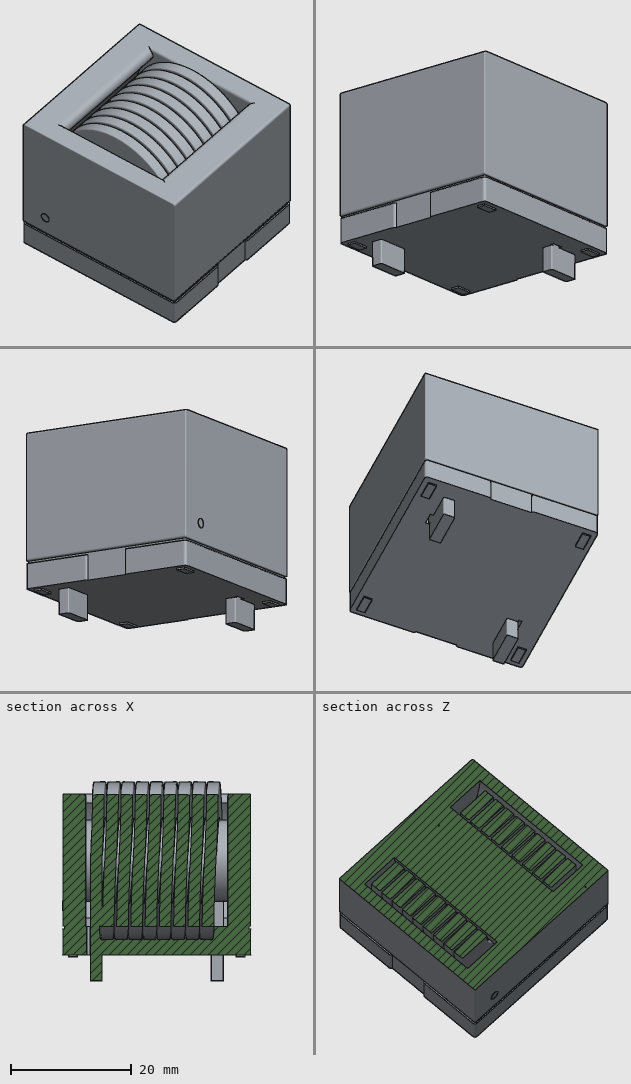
import cadquery as cq


length_x = 32.0
length_y = 31.2
height = 33.0

base_bottom = 4.3
base_top = 8.6
core_bottom = 9.05
core_top = 31.0

neck_inset = 0.3
base_corner_radius = 0.5
neck_corner_radius = 0.25
recess_width = 7.2
foot_length = 3.05
foot_width = 1.5
foot_height = 0.3
foot_center_x = 13.5
foot_center_y = 13.9
slot_inner_x = 6.73
slot_outer_x = 8.75
slot_outer_y = 11.58

core_top_edge_radius = 0.5
core_bottom_edge_radius = 0.33
core_end_edge_radius = 0.15
window_half_x = 9.95
window_half_y = 11.75
window_radius_x = 1.4
window_radius_y = 0.5
post_diameter = 13.5
cavity_clearance = 0.73
marker_diameter = 1.62
marker_depth = 0.05
marker_x = -11.3
marker_z = 12.45

wire_width = 6.07
wire_thickness = 2.0
wire_corner_radius = 0.2
coil_outer_radius = 13.07
coil_turns = 8.5
lead_center_y = 10.03

coil_mean_radius = coil_outer_radius - wire_width / 2
coil_axis_z = height - coil_outer_radius
coil_travel = 2 * lead_center_y
coil_pitch = coil_travel / coil_turns


def block(size_x, size_y, bottom, top):
    """Box centered on the Z axis between two levels."""
    return (
        cq.Workplane("XY", origin=(0, 0, bottom))
        .rect(size_x, size_y)
        .extrude(top - bottom)
    )


def cylinder_along_y(radius, half_length):
    """Cylinder on the coil axis, centered at Y = 0."""
    return (
        cq.Workplane("XZ", origin=(0, 0, coil_axis_z))
        .circle(radius)
        .extrude(half_length, both=True)
    )


def flared_prism(plane, half_width, radius, half_length):
    """Slot profile whose two upper edges round outward to the core top, extruded both ways."""
    return (
        cq.Workplane(plane)
        .moveTo(-half_width, core_bottom)
        .lineTo(half_width, core_bottom)
        .lineTo(half_width, core_top - radius)
        .radiusArc((half_width + radius, core_top), radius)
        .lineTo(-half_width - radius, core_top)
        .radiusArc((-half_width, core_top - radius), radius)
        .close()
        .extrude(half_length, both=True)
    )


def make_core():
    core = block(length_x, length_y, core_bottom, core_top)
    core = core.edges("|Y and >Z").fillet(core_top_edge_radius)
    core = core.edges("|Y and <Z").fillet(core_bottom_edge_radius)
    core = core.faces("<Y or >Y").edges().fillet(core_end_edge_radius)

    window = flared_prism("XZ", window_half_x, window_radius_x, length_y)
    window = window.intersect(flared_prism("YZ", window_half_y, window_radius_y, length_x))
    cavity = cylinder_along_y(coil_outer_radius + cavity_clearance, window_half_y)
    post = cylinder_along_y(post_diameter / 2, window_half_y)
    core = core.cut(cavity).cut(window).union(post)

    marker = (
        cq.Workplane("XZ", origin=(marker_x, -length_y / 2, marker_z))
        .circle(marker_diameter / 2)
        .extrude(-marker_depth)
    )
    return core.cut(marker)


def make_base():
    neck_x = length_x - 2 * neck_inset
    neck_y = length_y - 2 * neck_inset
    base = block(neck_x, neck_y, base_bottom, core_bottom).edges("|Z").fillet(neck_corner_radius)

    pad_y = (length_y - recess_width) / 2
    pad_center_y = (length_y + recess_width) / 4
    pad = block(length_x, pad_y, base_bottom, base_top).edges("|Z").fillet(base_corner_radius)
    for side in (-1, 1):
        base = base.union(pad.translate((0, side * pad_center_y, 0)))

    feet = (
        cq.Workplane("XY", origin=(0, 0, base_bottom))
        .rect(2 * foot_center_x, 2 * foot_center_y, forConstruction=True)
        .vertices()
        .rect(foot_length, foot_width)
        .extrude(-foot_height)
    )
    return base.union(feet)


def wire_section(workplane):
    """Flat-wire cross-section with rounded corners, centered on the workplane."""
    sketch = workplane.sketch().rect(wire_width, wire_thickness)
    return sketch.vertices().fillet(wire_corner_radius).finalize()


def make_turns():
    helix = cq.Wire.makeHelix(coil_pitch, coil_travel, coil_mean_radius, lefthand=True)
    section = wire_section(cq.Workplane("XZ", origin=(coil_mean_radius, 0, 0)))
    turns = section.sweep(cq.Workplane(helix), isFrenet=True)
    frame = cq.Plane(origin=(0, lead_center_y, coil_axis_z), xDir=(-1, 0, 0), normal=(0, -1, 0))
    return cq.Workplane(turns.val().moved(cq.Location(frame)))


def make_lead(side):
    """Straight wire from the bottom up to the coil end on the given X side."""
    start = cq.Workplane("XY", origin=(side * coil_mean_radius, -side * lead_center_y, 0))
    return wire_section(start).extrude(coil_axis_z)


def make_slots():
    lead_face_y = lead_center_y + wire_thickness / 2
    slot = (
        cq.Workplane("XY", origin=(0, 0, base_bottom))
        .moveTo(-(slot_inner_x + slot_outer_x) / 2, (lead_face_y + slot_outer_y) / 2)
        .rect(slot_outer_x - slot_inner_x, slot_outer_y - lead_face_y)
        .extrude(core_bottom - base_bottom)
    )
    return slot.union(slot.rotate((0, 0, 0), (0, 0, 1), 180))


body = make_base().cut(make_slots()).union(make_core())
for lead_side in (-1, 1):
    body = body.union(make_lead(lead_side))

result = body.union(make_turns(), glue=True)